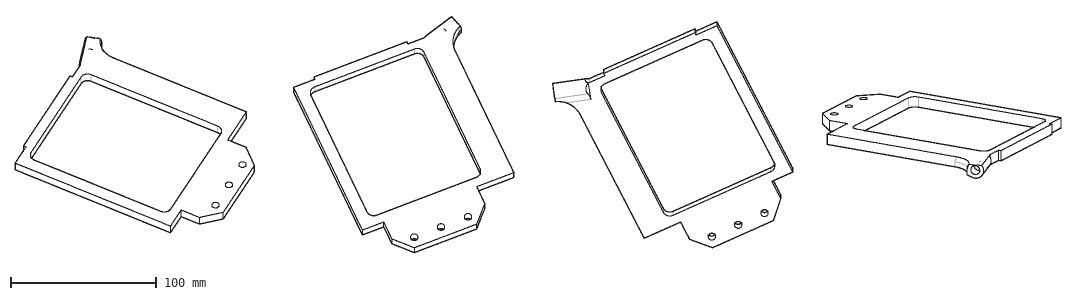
import cadquery as cq
import math

thickness = 7.5
frame_left = 8.7
frame_right = 128.9
frame_top = 113.2
window_left = 14.1
window_right = 122.0
window_bottom = 8.5
window_top = 93.0
window_corner_radius = 5.0

side_center_y = 50.7
side_height = 69.5
side_bottom = side_center_y - side_height / 2
side_top = side_center_y + side_height / 2
pad_left = 6.8
tab_right = 155.5
tab_chamfer_x = 12.5
tab_chamfer_y = 11.5
tab_hole_diameter = 5.0
tab_hole_x = 147.8
tab_hole_pitch = 20.0
tab_hole_count = 3

overall_depth = 124.4
tilt = 17.0
barrel_radius = 5.9
barrel_length = 22.2
bore_diameter = 6.4
bore_depth = 10.0
neck_radius = 17.1
fairing_radius = 9.3
relief_radius = 2.5

tilt_cos = math.cos(math.radians(tilt))
tilt_sin = math.sin(math.radians(tilt))
axis_z = -thickness / 2
barrel_end_x = barrel_radius * tilt_cos
barrel_end_y = overall_depth - barrel_radius * tilt_sin
barrel_depth = barrel_radius - axis_z
flat_half_width = math.sqrt(barrel_radius**2 - axis_z**2)


def barrel_point(along, across):
    """Plan position measured from the barrel end, along and to the right of its axis."""
    x = barrel_end_x + along * tilt_sin + across * tilt_cos
    y = barrel_end_y - along * tilt_cos + across * tilt_sin
    return (x, y)


def barrel_workplane():
    """Workplane on the barrel end: local x to the right, local y up, extruding inwards."""
    return cq.Workplane(
        cq.Plane(
            origin=(barrel_end_x, barrel_end_y, axis_z),
            xDir=(tilt_cos, tilt_sin, 0),
            normal=(tilt_sin, -tilt_cos, 0),
        )
    )


def block(x_min, x_max, y_min, y_max):
    """Full-thickness block below z = 0."""
    return cq.Workplane("XY").box(
        x_max - x_min, y_max - y_min, thickness, centered=False
    ).translate((x_min, y_min, -thickness))


def make_frame():
    return block(frame_left, frame_right, 0, frame_top)


def make_window():
    window = block(window_left, window_right, window_bottom, window_top)
    return window.edges("|Z").fillet(window_corner_radius)


def make_pad():
    return block(pad_left, frame_left, side_bottom, side_top)


def make_tab():
    tab = (
        cq.Workplane("XY")
        .moveTo(frame_right, side_bottom)
        .lineTo(tab_right - tab_chamfer_x, side_bottom)
        .lineTo(tab_right, side_bottom + tab_chamfer_y)
        .lineTo(tab_right, side_top - tab_chamfer_y)
        .lineTo(tab_right - tab_chamfer_x, side_top)
        .lineTo(frame_right, side_top)
        .close()
        .extrude(-thickness)
    )
    holes = (
        cq.Workplane("XY")
        .center(tab_hole_x, side_center_y)
        .rarray(1.5, tab_hole_pitch, 1, tab_hole_count)
        .circle(tab_hole_diameter / 2)
        .extrude(-thickness)
    )
    return tab.cut(holes)


left_start = barrel_point(0, -flat_half_width)
neck_foot_y = left_start[1] - (frame_left - left_start[0]) * tilt_cos / tilt_sin


def neck_outline(workplane, half_width):
    """Closed outline with a concave arc from the barrel side to the frame edge."""
    arc_start = barrel_point(0, half_width)
    arc_center_y = frame_top + neck_radius
    start_height = arc_center_y - arc_start[1]
    start_angle = math.pi + math.asin(start_height / neck_radius)
    arc_center_x = arc_start[0] - neck_radius * math.cos(start_angle)
    middle_angle = (start_angle + 1.5 * math.pi) / 2
    arc_middle = (
        arc_center_x + neck_radius * math.cos(middle_angle),
        arc_center_y + neck_radius * math.sin(middle_angle),
    )
    return (
        workplane
        .moveTo(*left_start)
        .lineTo(*arc_start)
        .threePointArc(arc_middle, (arc_center_x, frame_top))
        .lineTo(arc_center_x, neck_foot_y)
        .lineTo(frame_left, neck_foot_y)
        .close()
    )


def make_lower_neck(bottom_z):
    """Part of the neck below the barrel axis, as wide as the barrel."""
    axis_level = cq.Workplane("XY", origin=(0, 0, axis_z))
    return neck_outline(axis_level, barrel_radius).extrude(bottom_z - axis_z)


def make_neck():
    """Web between barrel and frame, its arc widening from the barrel flat to the barrel axis."""
    lower = neck_outline(cq.Workplane("XY", origin=(0, 0, axis_z)), barrel_radius)
    upper_neck = neck_outline(lower.workplane(offset=-axis_z), flat_half_width).loft(ruled=True)
    return upper_neck.union(make_lower_neck(-thickness))


def make_envelope(half_width):
    """Space beside the barrel axis, ending in a 45 degree ramp below the plate."""
    side_plane = cq.Plane(
        origin=(barrel_end_x, barrel_end_y, 0),
        xDir=(tilt_sin, -tilt_cos, 0),
        normal=(-tilt_cos, -tilt_sin, 0),
    )
    return (
        cq.Workplane(side_plane)
        .moveTo(0, 0)
        .lineTo(0, -barrel_depth)
        .lineTo(barrel_length, -barrel_depth)
        .lineTo(barrel_length + barrel_depth, 0)
        .close()
        .extrude(half_width, both=True)
    )


def make_barrel():
    """Round barrel with a flat top."""
    round_bar = barrel_workplane().circle(barrel_radius).extrude(barrel_length + barrel_depth)
    return round_bar.intersect(make_envelope(barrel_radius))


def make_fairing():
    """Concave blend from the right underside of the barrel to the underside of the plate."""
    underside = -thickness - axis_z
    center_y = underside - fairing_radius
    center_distance = barrel_radius + fairing_radius
    center_x = math.sqrt(center_distance**2 - center_y**2)
    touch_x = center_x * barrel_radius / center_distance
    touch_y = center_y * barrel_radius / center_distance
    touch_angle = math.atan2(touch_y - center_y, touch_x - center_x)
    middle_angle = (touch_angle + math.pi / 2) / 2
    arc_middle = (
        center_x + fairing_radius * math.cos(middle_angle),
        center_y + fairing_radius * math.sin(middle_angle),
    )
    half_touch_angle = math.atan2(touch_x, -touch_y) / 2
    barrel_arc_middle = (
        barrel_radius * math.sin(half_touch_angle),
        -barrel_radius * math.cos(half_touch_angle),
    )
    blend = (
        barrel_workplane()
        .moveTo(0, 0)
        .lineTo(0, -barrel_radius)
        .threePointArc(barrel_arc_middle, (touch_x, touch_y))
        .threePointArc(arc_middle, (center_x, underside))
        .lineTo(center_x, 0)
        .close()
        .extrude(barrel_length + barrel_depth)
    )
    return blend.intersect(make_envelope(center_x)).intersect(make_lower_neck(-barrel_depth))


def make_bore():
    return barrel_workplane().circle(bore_diameter / 2).extrude(bore_depth)


def make_relief():
    """Round-ended notch that trims the barrel back to the left edge of the frame."""
    center_x = frame_left - relief_radius
    return (
        cq.Workplane("XY")
        .moveTo(frame_left, side_top)
        .lineTo(frame_left, neck_foot_y)
        .threePointArc(
            (center_x, neck_foot_y + relief_radius),
            (center_x - relief_radius, neck_foot_y),
        )
        .lineTo(center_x - relief_radius, side_top)
        .close()
        .extrude(-barrel_depth)
    )


result = (
    make_frame()
    .union(make_neck())
    .union(make_barrel())
    .union(make_fairing())
    .cut(make_window())
    .cut(make_relief())
    .cut(make_bore())
    .union(make_pad())
    .union(make_tab())
)